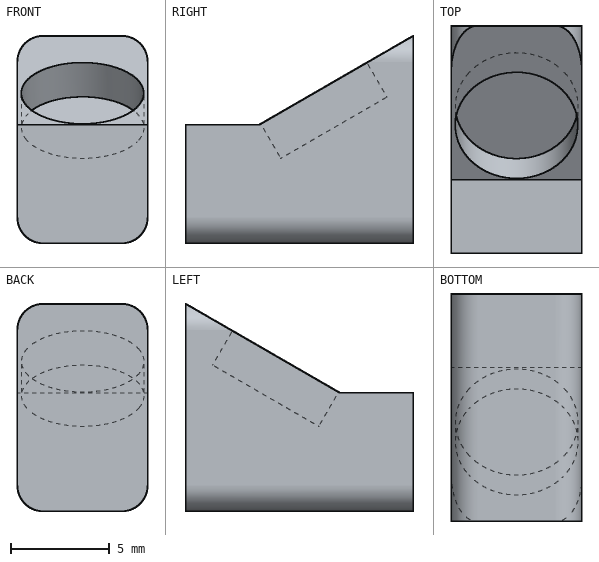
import cadquery as cq
import math

width = 6.6
length = 11.5
height = 10.5
corner_radius = 1.32

slope_angle = 30.0
step_height = 6.0
slope_rise = height - step_height
slope_run = slope_rise / math.tan(math.radians(slope_angle))
step_length = length - slope_run

pocket_diameter = 6.2
pocket_depth = 2.0
pocket_distance = 3.19


def make_block():
    """Block with its four lengthwise edges rounded."""
    return (
        cq.Workplane("XY")
        .box(width, length, height, centered=(True, False, False))
        .edges("|Y")
        .fillet(corner_radius)
    )


def make_side_profile():
    """Side outline with the step and slope, extruded across the width."""
    outline = [
        (0, 0),
        (length, 0),
        (length, height),
        (step_length, step_height),
        (0, step_height),
    ]
    return cq.Workplane("YZ").polyline(outline).close().extrude(width / 2, both=True)


def make_pocket():
    """Cylinder reaching below the sloped face by the pocket depth."""
    angle = math.radians(slope_angle)
    center = (
        0,
        step_length + pocket_distance * math.cos(angle),
        step_height + pocket_distance * math.sin(angle),
    )
    outward = (0, -math.sin(angle), math.cos(angle))
    slope_plane = cq.Plane(origin=center, xDir=(1, 0, 0), normal=outward)
    return cq.Workplane(slope_plane).circle(pocket_diameter / 2).extrude(-pocket_depth)


result = make_block().intersect(make_side_profile()).cut(make_pocket())